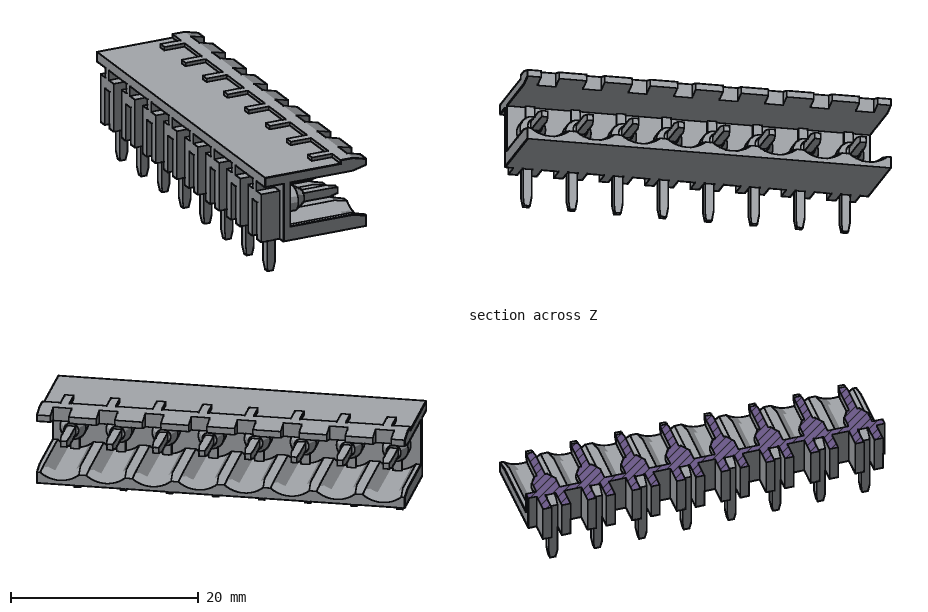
import cadquery as cq

length = 40.0
depth = 12.1
height = 12.2
poles = 8
pitch = length / poles
pole_centers = [pitch * (i + 0.5) for i in range(poles)]

floor_top = 1.65
ceiling = 6.65
roof_top = 7.75
strip_top = 8.15
wall_front = 2.2
wall_back = 3.05
lip_length = 1.6
lip_drop = 0.4
lip_start = depth - lip_length
end_chamfer = 0.06

strip_start = 9.0
tab_start = 6.6
tab_width = 0.95

notch_width = 2.0

pole_axis_z = 3.75
groove_radius = ceiling - pole_axis_z
boss_radius = 1.4
boss_tip_radius = 0.8
boss_shoulder = 4.5
boss_end = 5.5
rib_thickness = 0.4

foot_width = 3.1
foot_height = 5.5
stem_width = 0.85
slot_width = 1.1

pin_width = 0.95
pin_tip_width = 0.65
pin_tip_length = 1.0
pin_end = 9.75
leg_end = strip_top - height
pin_top = pole_axis_z + pin_width / 2


def box(x_center, width, y_start, y_end, z_start, z_end):
    """Block centred on x_center, between the given Y and Z limits."""
    block = cq.Workplane("XY").box(width, y_end - y_start, z_end - z_start, centered=False)
    return block.translate((x_center - width / 2, y_start, z_start))


def revolve_about_pole(x_center, outline):
    """Solid of revolution about the pole axis, from (radius, y) points."""
    solid = cq.Workplane("XY").polyline(outline).close().revolve(360, (0, 0, 0), (0, 1, 0))
    return solid.translate((x_center, 0, pole_axis_z))


def housing_shell():
    """C-shaped section along X, with tapered lips at the open side and chamfered ends."""
    section = [
        (wall_front, 0),
        (depth, 0),
        (depth, floor_top - lip_drop),
        (lip_start, floor_top),
        (wall_back, floor_top),
        (wall_back, ceiling),
        (lip_start, ceiling),
        (depth, ceiling + lip_drop),
        (depth, strip_top - lip_drop),
        (lip_start, strip_top),
        (strip_start, strip_top),
        (strip_start, roof_top),
        (0, roof_top),
        (0, ceiling),
        (wall_front, ceiling),
    ]
    shell = cq.Workplane("YZ").polyline(section).close().extrude(length)
    return shell.faces("<X or >X").edges().chamfer(end_chamfer)


def mating_groove(x_center):
    """Round groove around the pole axis, flaring along the lip."""
    return revolve_about_pole(x_center, [
        (0, wall_back),
        (groove_radius, wall_back),
        (groove_radius, lip_start),
        (groove_radius + lip_drop, depth),
        (0, depth),
    ])


def boss(x_center):
    """Round boss with a conical end that carries the pin."""
    return revolve_about_pole(x_center, [
        (0, wall_front),
        (boss_radius, wall_front),
        (boss_radius, boss_shoulder),
        (boss_tip_radius, boss_end),
        (0, boss_end),
    ])


def foot(x_center):
    """Foot hung from the roof by a narrow stem, with a slot for the pin leg."""
    block = box(x_center, foot_width, 0, wall_front, 0, foot_height)
    stem = box(x_center, stem_width, 0, wall_front, foot_height, ceiling)
    slot = box(x_center, slot_width, 0, wall_front, 0, pin_top)
    return block.union(stem).cut(slot)


def tapered_tip():
    """Pin tip that narrows along +Z."""
    tip = cq.Workplane("XY").rect(pin_width, pin_width)
    return tip.workplane(offset=pin_tip_length).rect(pin_tip_width, pin_tip_width).loft()


def pin(x_center):
    """Square pin bent down in front of the wall, bevelled at the bend."""
    leg_front = wall_front - pin_width
    leg_shoulder = leg_end + pin_tip_length
    arm_shoulder = pin_end - pin_tip_length
    bend = [
        (leg_front, leg_shoulder),
        (leg_front, pin_top - pin_width),
        (wall_front, pin_top),
        (arm_shoulder, pin_top),
        (arm_shoulder, pin_top - pin_width),
        (wall_front, pin_top - pin_width),
        (wall_front, leg_shoulder),
    ]
    body = cq.Workplane("YZ").polyline(bend).close().extrude(pin_width / 2, both=True)
    leg_tip = tapered_tip().rotate((0, 0, 0), (1, 0, 0), 180)
    leg_tip = leg_tip.translate((0, wall_front - pin_width / 2, leg_shoulder))
    arm_tip = tapered_tip().rotate((0, 0, 0), (1, 0, 0), -90)
    arm_tip = arm_tip.translate((0, arm_shoulder, pole_axis_z))
    return body.union(leg_tip).union(arm_tip).translate((x_center, 0, 0))


result = housing_shell()
for x in pole_centers:
    notch = box(x, notch_width, lip_start, depth, ceiling, strip_top)
    result = result.cut(mating_groove(x)).cut(notch)

for x in pole_centers:
    tab = box(x, tab_width, tab_start, strip_start, roof_top, strip_top)
    rib = box(x, pin_width, wall_front, wall_back + rib_thickness, floor_top / 2, ceiling)
    for feature in (tab, rib, boss(x), foot(x), pin(x)):
        result = result.union(feature)